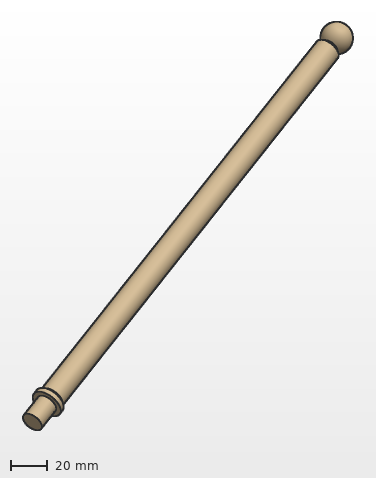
import cadquery as cq
import math

total_length = 321.0
end_radius = 9.0
shaft_radius = 7.5
tenon_radius = 6.0
tenon_length = 14.8
collar_length = 4.8
neck_radius = 5.0
ball_center_inset = 6.7

tenon_end = -total_length / 2
ball_end = total_length / 2
collar_start = tenon_end + tenon_length
collar_end = collar_start + collar_length
bevel_start = collar_end - (end_radius - shaft_radius)

ball_center = ball_end - ball_center_inset
ball_flat_radius = math.sqrt(end_radius**2 - ball_center_inset**2)
neck_position = ball_center - math.sqrt(end_radius**2 - neck_radius**2)

shaft_end = neck_position - (shaft_radius - neck_radius)

profile = (
    cq.Workplane("XY")
    .moveTo(0, tenon_end)
    .lineTo(tenon_radius, tenon_end)
    .lineTo(tenon_radius, collar_start)
    .lineTo(end_radius, collar_start)
    .lineTo(end_radius, bevel_start)
    .lineTo(shaft_radius, collar_end)
    .lineTo(shaft_radius, shaft_end)
    .lineTo(neck_radius, neck_position)
    .threePointArc((end_radius, ball_center), (ball_flat_radius, ball_end))
    .lineTo(0, ball_end)
    .close()
)

result = profile.revolve(360, (0, 0, 0), (0, 1, 0))